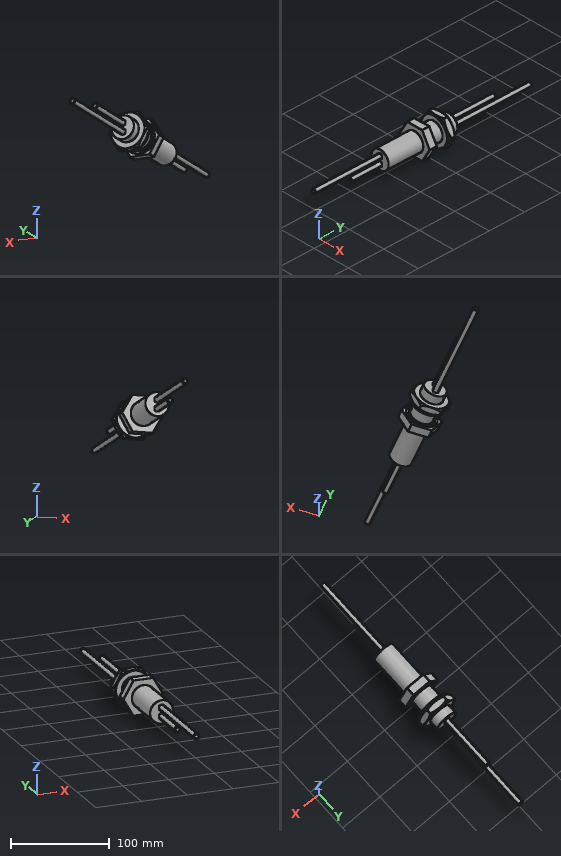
import cadquery as cq
import math


barrel_diameter = 25.3
barrel_front = -58.8
barrel_back = 38.5

across_flats = 38.0
across_corners = across_flats / math.cos(math.radians(30))
flange_front = -10.0
flange_thickness = 10.0
seal_outer_diameter = 34.7
seal_inner_diameter = 28.5
seal_height = 0.5

tube_outer_diameter = 6.5
tube_bore_diameter = 5.0
tube_length = 254.0
tube_spacing = 9.5
overall_length = 304.8

nut_front = 17.0
nut_thickness = 10.5
washer_face_height = 2.0
chamfer_angle = 30.0
chamfer_depth = (across_corners - across_flats) / 2 * math.tan(math.radians(chamfer_angle))


def cylinder(diameter, front, length, z=0.0):
    """Cylinder along +Y from the front station."""
    start = cq.Vector(0, front, z)
    return cq.Workplane(cq.Solid.makeCylinder(diameter / 2, length, start, cq.Vector(0, 1, 0)))


def hexagon(front, length):
    """Hexagonal prism along +Y with flats facing up and down."""
    plane = cq.Workplane("XZ", origin=(0, front, 0))
    return plane.polygon(6, across_corners).extrude(-length)


def make_seal_ring():
    """Round-section ring partly sunk into the back face of the flange."""
    section_radius = (seal_outer_diameter - seal_inner_diameter) / 4
    ring_radius = (seal_outer_diameter + seal_inner_diameter) / 4
    center = cq.Vector(0, flange_front + flange_thickness + seal_height - section_radius, 0)
    return cq.Workplane(cq.Solid.makeTorus(ring_radius, section_radius, center, cq.Vector(0, 1, 0)))


def make_housing():
    """Barrel, hexagonal flange with seal ring, and the two fixed tubes."""
    body = cylinder(barrel_diameter, barrel_front, barrel_back - barrel_front)
    body = body.union(hexagon(flange_front, flange_thickness))
    body = body.union(make_seal_ring())

    upper_front = -overall_length / 2
    lower_front = overall_length / 2 - tube_length
    tubes = [(upper_front, tube_spacing / 2), (lower_front, -tube_spacing / 2)]
    for front, z in tubes:
        body = body.union(cylinder(tube_outer_diameter, front, tube_length, z))
    for front, z in tubes:
        body = body.cut(cylinder(tube_bore_diameter, front, tube_length, z))
    return body


def make_nut():
    """Hexagonal nut, corners chamfered at both ends, with a round washer face."""
    hex_front = nut_front + washer_face_height
    hex_back = nut_front + nut_thickness
    flat_radius = across_flats / 2
    corner_radius = across_corners / 2
    turned_envelope = (
        cq.Workplane("XY")
        .moveTo(0, hex_front)
        .lineTo(flat_radius, hex_front)
        .lineTo(corner_radius, hex_front + chamfer_depth)
        .lineTo(corner_radius, hex_back - chamfer_depth)
        .lineTo(flat_radius, hex_back)
        .lineTo(0, hex_back)
        .close()
        .revolve(360, (0, 0, 0), (0, 1, 0))
    )
    nut = hexagon(hex_front, hex_back - hex_front).intersect(turned_envelope)
    nut = nut.union(cylinder(across_flats, nut_front, washer_face_height))
    return nut.cut(cylinder(barrel_diameter, nut_front, nut_thickness))


housing = make_housing()
nut = make_nut()

result = cq.Compound.makeCompound([housing.val(), nut.val()])